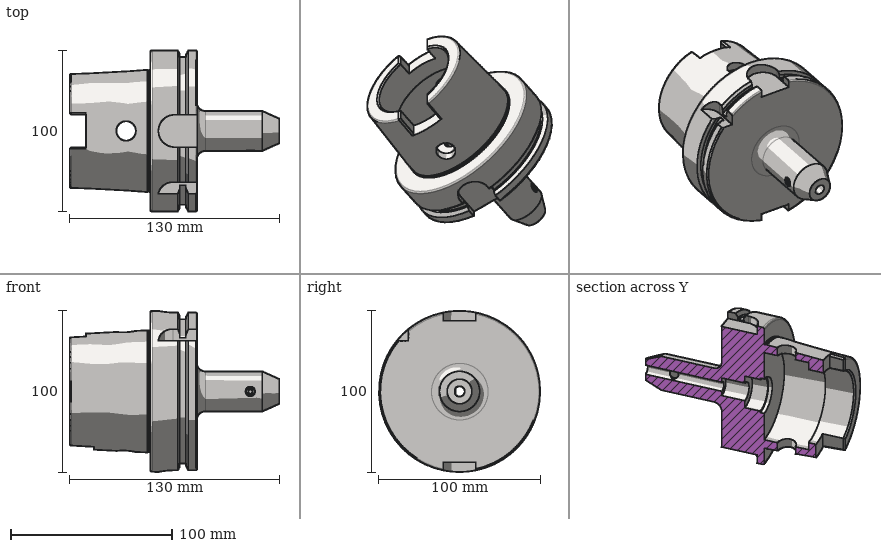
import cadquery as cq
import math


total_length = 130.0
shank_length = 49.9
flange_length = 29.0
flange_end = shank_length + flange_length
neck_fillet = 5.1
nose_start = 119.3

fillet_share = 1 - math.sqrt(0.5)

shank_front_diameter = 70.8
shank_back_diameter = 75.9
shank_fillet = 1.0
relief_length = 2.0
relief_slope_length = 0.8
relief_depth = 0.3
relief_flare = 0.4

flange_diameter = 100.0
flange_front_fillet = 1.2
flange_back_fillet = 0.9
groove_root_diameter = 91.8
groove_start = 67.0
groove_root_start = 68.1
groove_root_end = 72.0
groove_end = 73.6
groove_wall_slope = math.tan(math.radians(60))

neck_diameter = 25.0
nose_diameter = 15.3

bore_diameter = 52.8
bore_chamfer = 1.0
bore_front_depth = 20.0
undercut_diameter = 62.9
bore_depth = shank_length
coolant_step_diameter = 24.7
coolant_step_depth = 2.6
coolant_thread_diameter = 22.6
coolant_thread_depth = 10.4
feed_diameter = 12.5
feed_depth = 15.6
tool_bore_diameter = 6.2

slot_width = 20.0
slot_chamfer = 1.2
top_slot_depth = 10.0
bottom_slot_depth = 15.0

cross_hole_x = 35.0
cross_hole_diameter = 12.0

keyway_start = 55.0
keyway_width = 20.0
keyway_floor = 44.0
notch_start = 54.6
notch_end_radius = 9.4
notch_floor = 31.3
notch_wall = 31.7

screw_x = 111.9
screw_diameter = 6.0
screw_chamfer = 0.5
screw_tip_y = -2.5
screw_head_y = -12.5
socket_flats = 2.7
socket_depth = 2.6
socket_point_depth = 0.8


def make_holder_blank():
    shank_front_radius = shank_front_diameter / 2
    shank_back_radius = shank_back_diameter / 2
    flange_radius = flange_diameter / 2
    groove_radius = groove_root_diameter / 2
    neck_radius = neck_diameter / 2
    relief_start = shank_length - relief_length
    relief_radius = shank_back_radius - relief_depth
    return (
        cq.Workplane("XZ")
        .moveTo(0, 0)
        .lineTo(0, shank_front_radius - shank_fillet)
        .threePointArc(
            (fillet_share * shank_fillet, shank_front_radius - fillet_share * shank_fillet),
            (shank_fillet, shank_front_radius),
        )
        .lineTo(relief_start, shank_back_radius)
        .lineTo(relief_start + relief_slope_length, relief_radius)
        .lineTo(shank_length - relief_flare, relief_radius)
        .lineTo(shank_length, relief_radius + relief_flare)
        .lineTo(shank_length, flange_radius - flange_front_fillet)
        .threePointArc(
            (
                shank_length + fillet_share * flange_front_fillet,
                flange_radius - fillet_share * flange_front_fillet,
            ),
            (shank_length + flange_front_fillet, flange_radius),
        )
        .lineTo(groove_start, flange_radius)
        .lineTo(groove_root_start, flange_radius - (groove_root_start - groove_start) * groove_wall_slope)
        .lineTo(groove_root_start, groove_radius)
        .lineTo(groove_root_end, groove_radius)
        .lineTo(groove_root_end, flange_radius - (groove_end - groove_root_end) * groove_wall_slope)
        .lineTo(groove_end, flange_radius)
        .lineTo(flange_end - flange_back_fillet, flange_radius)
        .threePointArc(
            (
                flange_end - fillet_share * flange_back_fillet,
                flange_radius - fillet_share * flange_back_fillet,
            ),
            (flange_end, flange_radius - flange_back_fillet),
        )
        .lineTo(flange_end, neck_radius + neck_fillet)
        .threePointArc(
            (flange_end + fillet_share * neck_fillet, neck_radius + fillet_share * neck_fillet),
            (flange_end + neck_fillet, neck_radius),
        )
        .lineTo(nose_start, neck_radius)
        .lineTo(total_length, nose_diameter / 2)
        .lineTo(total_length, 0)
        .close()
        .revolve(360, (0, 0, 0), (1, 0, 0))
    )


def make_hollow():
    """Space inside the holder: stepped bore, coolant seat, feed hole and tool bore."""
    radius = bore_diameter / 2
    undercut_radius = undercut_diameter / 2
    step_end = bore_depth + coolant_step_depth
    thread_end = step_end + coolant_thread_depth
    feed_end = thread_end + feed_depth
    return (
        cq.Workplane("XZ")
        .moveTo(0, 0)
        .lineTo(0, radius + bore_chamfer)
        .lineTo(bore_chamfer, radius)
        .lineTo(bore_front_depth, radius)
        .lineTo(bore_front_depth, undercut_radius)
        .lineTo(bore_depth, undercut_radius)
        .lineTo(bore_depth, coolant_step_diameter / 2)
        .lineTo(step_end, coolant_step_diameter / 2)
        .lineTo(step_end, coolant_thread_diameter / 2)
        .lineTo(thread_end, coolant_thread_diameter / 2)
        .lineTo(thread_end, feed_diameter / 2)
        .lineTo(feed_end, feed_diameter / 2)
        .lineTo(feed_end, tool_bore_diameter / 2)
        .lineTo(total_length, tool_bore_diameter / 2)
        .lineTo(total_length, 0)
        .close()
        .revolve(360, (0, 0, 0), (1, 0, 0))
    )


def make_slot_section(x, shank_radius):
    """Slot section at one place along the axis, flared where it leaves a shank of that radius."""
    half = slot_width / 2
    rim_half = half + slot_chamfer
    rim_height = math.sqrt(shank_radius**2 - rim_half**2)
    top = flange_diameter / 2
    right_side = [(half, 0), (half, rim_height - slot_chamfer), (rim_half, rim_height), (rim_half, top)]
    left_side = [(-y, z) for y, z in reversed(right_side)]
    return cq.Wire.makePolygon([cq.Vector(x, y, z) for y, z in right_side + left_side], close=True)


def make_drive_slot(depth, is_top):
    """Slot across the shank wall with its front and outer rims bevelled."""
    half = slot_width / 2
    taper = (shank_back_diameter - shank_front_diameter) / (2 * shank_length)
    front_radius = shank_front_diameter / 2
    slot = cq.Workplane(
        cq.Solid.makeLoft(
            [make_slot_section(0, front_radius), make_slot_section(depth, front_radius + depth * taper)],
            True,
        )
    )
    front_bevel = (
        cq.Workplane("XY")
        .moveTo(0, -half - slot_chamfer)
        .lineTo(slot_chamfer, -half)
        .lineTo(slot_chamfer, half)
        .lineTo(0, half + slot_chamfer)
        .close()
        .extrude(flange_diameter / 2)
    )
    cutter = slot.union(front_bevel)
    return cutter if is_top else cutter.mirror("XY")


def make_keyway(side):
    """Round-ended keyway cut into the flange down to a flat floor."""
    radius = keyway_width / 2
    height = flange_diameter / 2 - keyway_floor
    return (
        cq.Workplane("XY")
        .workplane(offset=side * keyway_floor)
        .moveTo(keyway_start + radius, radius)
        .threePointArc((keyway_start, 0), (keyway_start + radius, -radius))
        .lineTo(flange_end, -radius)
        .lineTo(flange_end, radius)
        .close()
        .extrude(side * height)
    )


def make_corner_notch():
    """Notch across the flange corner between -Y and +Z, with a flat floor and a rounded end."""
    radius = notch_end_radius
    return (
        cq.Workplane("XY")
        .workplane(offset=notch_floor)
        .moveTo(flange_end, -notch_wall)
        .lineTo(notch_start + radius, -notch_wall)
        .threePointArc(
            (notch_start, -notch_wall - radius),
            (notch_start + radius, -notch_wall - 2 * radius),
        )
        .lineTo(flange_end, -notch_wall - 2 * radius)
        .close()
        .extrude(flange_diameter / 2)
    )


def make_screw_envelope(tip_y):
    """Outside of the clamping screw, from its bevelled head inward to the given place."""
    plane = cq.Plane(origin=(screw_x, tip_y, 0), xDir=(1, 0, 0), normal=(0, -1, 0))
    envelope = cq.Workplane(plane).circle(screw_diameter / 2).extrude(tip_y - screw_head_y)
    return envelope.faces("<Y").chamfer(screw_chamfer)


def make_screw():
    head_plane = cq.Plane(origin=(screw_x, screw_head_y, 0), xDir=(0, 0, 1), normal=(0, 1, 0))
    socket = (
        cq.Workplane(head_plane)
        .polygon(6, socket_flats / math.cos(math.pi / 6))
        .extrude(socket_depth)
    )
    socket_point = cq.Solid.makeCone(
        socket_flats / 2,
        0,
        socket_point_depth,
        cq.Vector(screw_x, screw_head_y + socket_depth, 0),
        cq.Vector(0, 1, 0),
    )
    return make_screw_envelope(screw_tip_y).cut(socket).cut(cq.Workplane(socket_point))


def make_holder():
    holder = make_holder_blank().cut(make_hollow())
    holder = holder.cut(make_drive_slot(top_slot_depth, True))
    holder = holder.cut(make_drive_slot(bottom_slot_depth, False))
    for side in (1, -1):
        holder = holder.cut(make_keyway(side))
    holder = holder.cut(make_corner_notch())
    cross_hole = (
        cq.Workplane("XY")
        .center(cross_hole_x, 0)
        .circle(cross_hole_diameter / 2)
        .extrude(flange_diameter / 2, both=True)
    )
    return holder.cut(cross_hole).cut(make_screw_envelope(0))


holder = make_holder()
screw = make_screw()
result = cq.Compound.makeCompound([holder.solids().val(), screw.solids().val()])